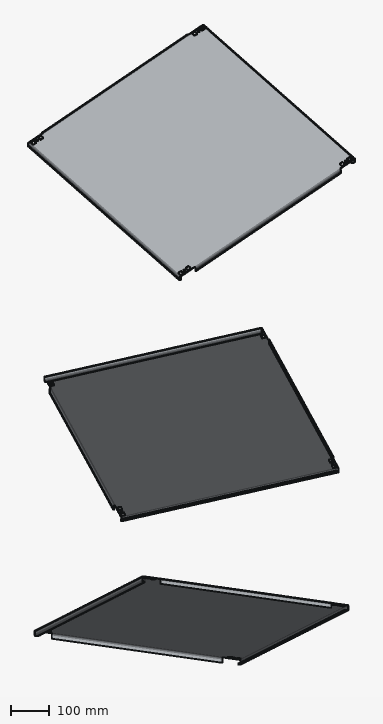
import cadquery as cq

LENGTH_X = 599.0
WIDTH_Y = 600.0
HEIGHT = 15.0

THICKNESS = 2.0
OUTER_BEND = 4.0
INNER_BEND = OUTER_BEND - THICKNESS

CHANNEL_LENGTH = LENGTH_X - 2 * OUTER_BEND
LIP_DEPTH = 10.0
LIP_CORNER_RADIUS = 5.0

SIDE_FLANGE_LENGTH = 496.0
SIDE_CORNER_RADIUS = 2.5

HOLE_EDGE_X = 12.0
HOLE_EDGE_Y = 12.5
HOLE_PITCH = 12.5
SQUARE_SIZE = 9.5
ROUND_DIAMETER = 6.0

BOTTOM = -HEIGHT


def rounded_bar(width, height, radius):
    """Solid bar along X with its four long edges rounded, centred on the origin."""
    bar = cq.Workplane("YZ").rect(width, height).extrude(CHANNEL_LENGTH / 2, both=True)
    return bar.edges("|X").fillet(radius)


def channel_panel():
    """Flat plate whose front and back edges are folded down and then inward."""
    outer = rounded_bar(WIDTH_Y, HEIGHT, OUTER_BEND)
    inner = rounded_bar(WIDTH_Y - 2 * THICKNESS, HEIGHT - 2 * THICKNESS, INNER_BEND)
    tube = outer.cut(inner).translate((0, 0, BOTTOM / 2))

    lip_edge_y = WIDTH_Y / 2 - LIP_DEPTH
    opening = (
        cq.Workplane("XY")
        .box(CHANNEL_LENGTH, 2 * lip_edge_y, 2 * THICKNESS)
        .translate((0, 0, BOTTOM))
    )
    panel = tube.cut(opening)

    lip_zone = cq.selectors.BoxSelector(
        (-LENGTH_X, -lip_edge_y - THICKNESS, BOTTOM),
        (LENGTH_X, lip_edge_y + THICKNESS, BOTTOM + THICKNESS),
    )
    return panel.edges("|Z").edges(lip_zone).fillet(LIP_CORNER_RADIUS)


def side_flange(side):
    """Strip folded straight down from the plate edge; side is -1 or 1 along X."""
    face_x = LENGTH_X / 2
    inner_x = face_x - THICKNESS
    bend_x = face_x - OUTER_BEND
    root_x = bend_x - OUTER_BEND
    profile = (
        cq.Workplane("XZ")
        .moveTo(side * root_x, 0)
        .lineTo(side * bend_x, 0)
        .radiusArc((side * face_x, -OUTER_BEND), side * OUTER_BEND)
        .lineTo(side * face_x, BOTTOM)
        .lineTo(side * inner_x, BOTTOM)
        .lineTo(side * inner_x, -OUTER_BEND)
        .radiusArc((side * bend_x, -THICKNESS), -side * INNER_BEND)
        .lineTo(side * root_x, -THICKNESS)
        .close()
    )
    flange = profile.extrude(SIDE_FLANGE_LENGTH / 2, both=True)
    lower_corners = flange.faces("<Y or >Y").edges("|X").edges("<Z")
    return lower_corners.fillet(SIDE_CORNER_RADIUS)


def corner_holes(side_x, side_y):
    """Cutters for the three holes through the plate in one corner."""
    hole_x = side_x * (LENGTH_X / 2 - HOLE_EDGE_X)
    outer_y = side_y * (WIDTH_Y / 2 - HOLE_EDGE_Y)
    middle_y = outer_y - side_y * HOLE_PITCH
    inner_y = middle_y - side_y * HOLE_PITCH
    squares = (
        cq.Workplane("XY")
        .pushPoints([(hole_x, outer_y), (hole_x, inner_y)])
        .rect(SQUARE_SIZE, SQUARE_SIZE)
        .extrude(-THICKNESS)
    )
    round_hole = (
        cq.Workplane("XY")
        .center(hole_x, middle_y)
        .circle(ROUND_DIAMETER / 2)
        .extrude(-THICKNESS)
    )
    return squares.union(round_hole)


result = channel_panel()
for side in (-1, 1):
    result = result.union(side_flange(side))
for side_x in (-1, 1):
    for side_y in (-1, 1):
        result = result.cut(corner_holes(side_x, side_y))